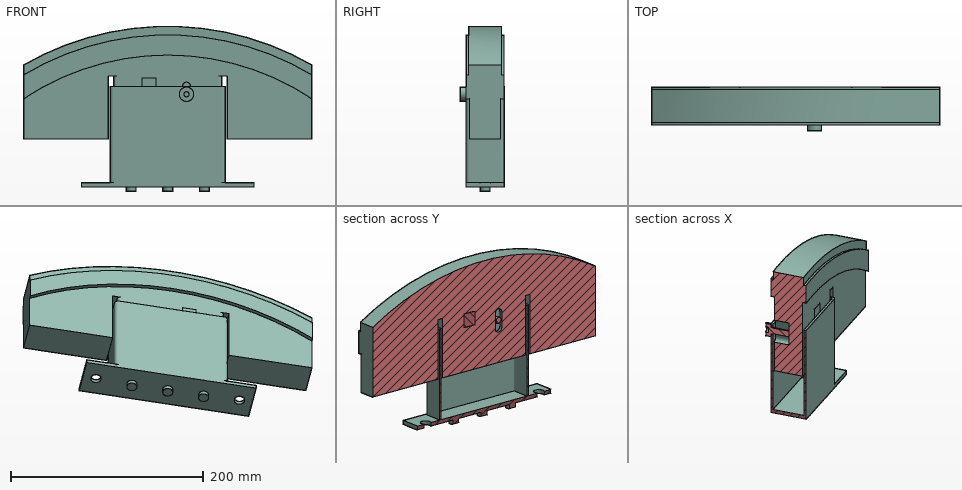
import cadquery as cq

total_height = 172.0
stud_height = 4.5

shoe_length = 300.0
shoe_bottom = 54.3
crown_radius = 300.0
band_outer_radius = 291.0
band_inner_radius = 270.0
crown_width = 34.5
band_width = 39.5
web_width = 32.5
arc_centre_z = total_height - crown_radius

side_slot_top = 120.0
side_slot_outer = 61.8
tongue_half_length = 56.5
tongue_corner_radius = 3.0

foot_length = 180.0
foot_thickness = 4.5
bracket_width = 40.0
sleeve_length = 120.0
sleeve_top = 109.2
sleeve_corner_radius = 3.5
wall = 2.7
foot_hole_diameter = 10.8
foot_hole_x = 76.2
foot_top = stud_height + foot_thickness
stud_diameter = 10.5
stud_pitch = 38.0

screw_x = 19.5
screw_z = 101.0
head_diameter = 15.0
head_height = 6.0
socket_diameter = 5.5
socket_depth = 3.0
shank_diameter = 7.2
screw_slot_width = 8.0
screw_slot_top = 113.7
screw_slot_length = 2 * (screw_slot_top - screw_z)
screw_slot_depth = web_width / 2

key_x = -19.5
key_size = 14.5
key_top = 118.2


def block(length, width, bottom, top):
    """Upright block centred on X = 0, Y = 0."""
    return cq.Workplane("XY").workplane(offset=bottom).rect(length, width).extrude(top - bottom)


def cylinder_y(diameter, x, z, start_y, length):
    """Cylinder along +Y."""
    return cq.Workplane("XZ", origin=(x, start_y, z)).circle(diameter / 2).extrude(-length)


def sector(radius, width):
    """Part of a disc about the arc centre that lies within the shoe length and above its bottom."""
    disc = cylinder_y(2 * radius, 0, arc_centre_z, -width / 2, width)
    return disc.intersect(block(shoe_length, width, shoe_bottom, total_height))


def make_shoe():
    web = sector(band_inner_radius, web_width)
    band = sector(band_outer_radius, band_width).cut(sector(band_inner_radius, band_width))
    crown = sector(crown_radius, crown_width).cut(sector(band_outer_radius, crown_width))
    shoe = web.union(band).union(crown)

    opening = block(2 * side_slot_outer, band_width, shoe_bottom, side_slot_top)
    tongue = block(2 * tongue_half_length, web_width, shoe_bottom, side_slot_top)
    tongue = tongue.edges("|Z").fillet(tongue_corner_radius)
    shoe = shoe.cut(opening.cut(tongue))

    screw_slot = (
        cq.Workplane("XZ", origin=(screw_x, -web_width / 2, screw_z))
        .slot2D(screw_slot_length, screw_slot_width, 90)
        .extrude(-screw_slot_depth)
    )
    return shoe.cut(screw_slot).cut(make_key())


def make_key():
    return block(key_size, web_width, key_top - key_size, key_top).translate((key_x, 0, 0))


def make_bracket():
    foot = block(foot_length, bracket_width, stud_height, foot_top)
    foot_holes = (
        cq.Workplane("XY")
        .pushPoints([(-foot_hole_x, 0), (foot_hole_x, 0)])
        .circle(foot_hole_diameter / 2)
        .extrude(foot_top)
    )
    sleeve = block(sleeve_length, bracket_width, foot_top, sleeve_top)
    sleeve = sleeve.edges("|Z").fillet(sleeve_corner_radius)
    cavity = block(sleeve_length - 2 * wall, bracket_width - 2 * wall, foot_top, sleeve_top)
    cavity = cavity.edges("|Z").fillet(sleeve_corner_radius - wall)
    bracket = foot.cut(foot_holes).union(sleeve.cut(cavity))

    studs = (
        cq.Workplane("XY")
        .pushPoints([(i * stud_pitch, 0) for i in (-1, 0, 1)])
        .circle(stud_diameter / 2)
        .extrude(stud_height)
    )
    screw_hole = cylinder_y(shank_diameter, screw_x, screw_z, -bracket_width / 2, wall)
    return bracket.union(studs).cut(screw_hole)


def make_screw():
    front = -bracket_width / 2
    head = cylinder_y(head_diameter, screw_x, screw_z, front - head_height, head_height)
    shank = cylinder_y(shank_diameter, screw_x, screw_z, front, bracket_width / 2)
    socket = cylinder_y(socket_diameter, screw_x, screw_z, front - head_height, socket_depth)
    return head.union(shank).cut(socket)


shoe = make_shoe()
key = make_key()
bracket = make_bracket()
screw = make_screw()

result = cq.Compound.makeCompound([body.solids().val() for body in (shoe, key, bracket, screw)])